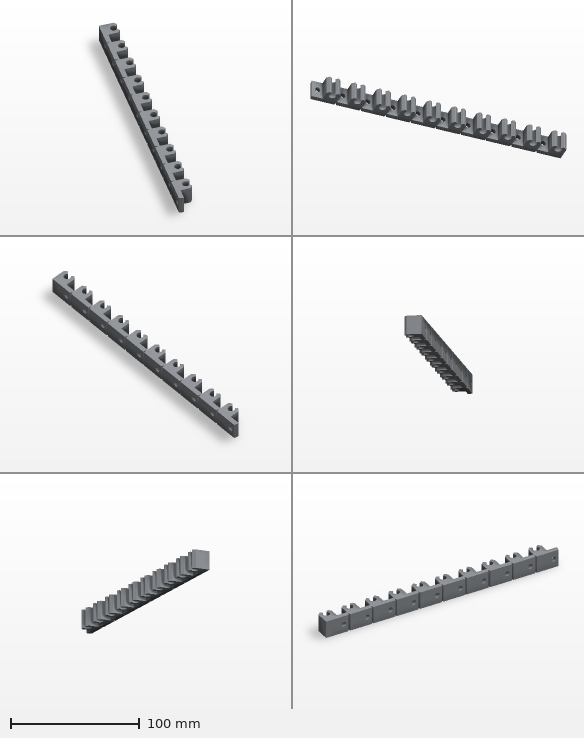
import cadquery as cq

CLIP_COUNT = 10
LENGTH = 210.0
DEPTH = 14.0
HEIGHT = 15.0
PITCH = LENGTH / CLIP_COUNT

BASE_THICKNESS = 4.0
SCREW_HOLE_DIAMETER = 4.2
SCREW_HOLE_OFFSET = 16.0

GROOVE_DEPTH = 2.5
GROOVE_HALF_WIDTH = 0.74

CLIP_WIDTH = 12.0
SEAT_DIAMETER = 5.7
SEAT_CENTER_Y = 10.0
JAW_CHAMFER = 2.0
JAW_TIP_WIDTH = 0.74
MOUTH_HALF_WIDTH = CLIP_WIDTH / 2 - JAW_CHAMFER - JAW_TIP_WIDTH


def make_base():
    return cq.Workplane("XY").box(LENGTH, BASE_THICKNESS, HEIGHT, centered=False)


def make_clip(left):
    """Clip with 45-degree slopes on both sides of each flat jaw tip."""
    right = left + CLIP_WIDTH
    middle = left + CLIP_WIDTH / 2
    shoulder_y = DEPTH - JAW_CHAMFER
    block = (
        cq.Workplane("XY")
        .moveTo(left, 0)
        .lineTo(right, 0)
        .lineTo(right, shoulder_y)
        .lineTo(right - JAW_CHAMFER, DEPTH)
        .lineTo(middle + MOUTH_HALF_WIDTH, DEPTH)
        .lineTo(middle, DEPTH - MOUTH_HALF_WIDTH)
        .lineTo(middle - MOUTH_HALF_WIDTH, DEPTH)
        .lineTo(left + JAW_CHAMFER, DEPTH)
        .lineTo(left, shoulder_y)
        .close()
        .extrude(HEIGHT)
    )
    seat = (
        cq.Workplane("XY")
        .center(middle, SEAT_CENTER_Y)
        .circle(SEAT_DIAMETER / 2)
        .extrude(HEIGHT)
    )
    return block.cut(seat)


def make_groove(x):
    """V-shaped cutter running the full height, with its apex at x."""
    return (
        cq.Workplane("XY")
        .moveTo(x - GROOVE_HALF_WIDTH, 0)
        .lineTo(x + GROOVE_HALF_WIDTH, 0)
        .lineTo(x, GROOVE_DEPTH)
        .close()
        .extrude(HEIGHT)
    )


def make_screw_hole(x):
    """Cutter through the base bar along Y, centred on the height."""
    return (
        cq.Workplane("XZ")
        .center(x, HEIGHT / 2)
        .circle(SCREW_HOLE_DIAMETER / 2)
        .extrude(-BASE_THICKNESS)
    )


result = make_base()
for index in range(CLIP_COUNT):
    result = result.union(make_clip(index * PITCH))

for index in range(CLIP_COUNT):
    segment_left = index * PITCH
    result = result.cut(make_screw_hole(segment_left + SCREW_HOLE_OFFSET))
    result = result.cut(make_groove(segment_left + PITCH))